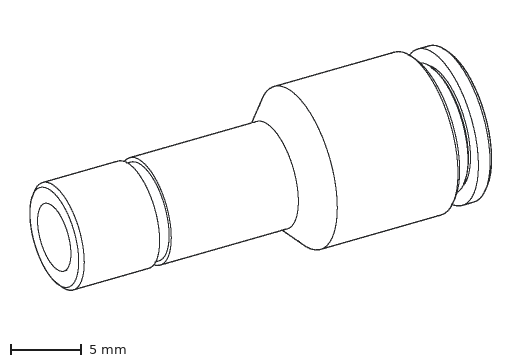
import cadquery as cq

total_length = 32.2
plug_groove_start = 6.35
plug_groove_end = 7.28
stem_end = 17.5
body_start = 19.5
body_end = 29.5
collar_end = 30.65
neck_taper_end = 30.8
flange_start = 30.98

bore_diameter = 5.0
stem_diameter = 7.92
plug_groove_diameter = 7.28
body_diameter = 12.0
collar_diameter = 9.6
neck_diameter = 9.15
neck_foot_diameter = 9.27
flange_diameter = 11.53

edge_chamfer = 0.3

stem_radius = stem_diameter / 2
groove_radius = plug_groove_diameter / 2
body_radius = body_diameter / 2
collar_radius = collar_diameter / 2
neck_radius = neck_diameter / 2
neck_foot_radius = neck_foot_diameter / 2
flange_radius = flange_diameter / 2

half_section = [
    (0, 0),
    (stem_radius - edge_chamfer, 0),
    (stem_radius, edge_chamfer),
    (stem_radius, plug_groove_start),
    (groove_radius, plug_groove_start),
    (groove_radius, plug_groove_end),
    (stem_radius, plug_groove_end),
    (stem_radius, stem_end),
    (body_radius, body_start),
    (body_radius, body_end - edge_chamfer),
    (body_radius - edge_chamfer, body_end),
    (collar_radius, body_end),
    (collar_radius, collar_end),
    (neck_foot_radius, collar_end),
    (neck_radius, neck_taper_end),
    (neck_radius, flange_start),
    (flange_radius, flange_start),
    (flange_radius, total_length - edge_chamfer),
    (flange_radius - edge_chamfer, total_length),
    (0, total_length),
]
outer = cq.Workplane("XY").polyline(half_section).close().revolve(360, (0, 0), (0, 1))

bore = cq.Workplane("XZ").circle(bore_diameter / 2).extrude(-total_length)

result = outer.cut(bore)